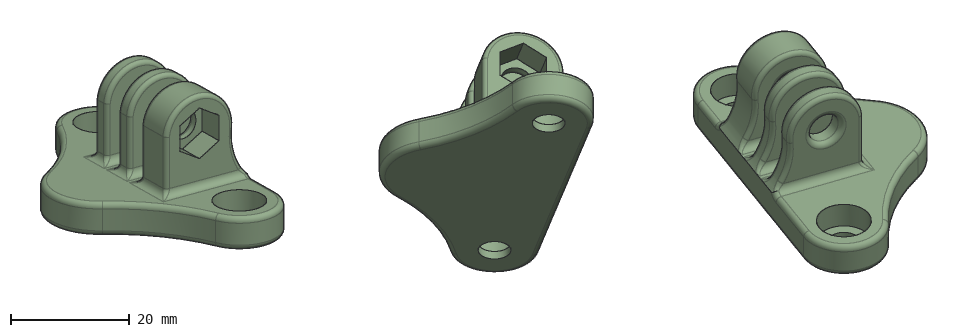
import cadquery as cq
import math

base_thickness = 6.0
base_depth = 31.81
hole_spacing = 41.0
lug_radius = 7.5
nose_radius = 10.0
waist_radius = 33.0
base_edge_fillet = 1.0

mount_hole_diameter = 5.5
counterbore_diameter = 9.2
counterbore_depth = 4.5

thin_fin_width = 3.25
wide_fin_width = 7.2
fin_gap = 3.5
fin_radius = 7.0
fin_front_reach = 6.95
pivot_height = 16.0
pivot_setback = 10.0
pivot_hole_diameter = 5.5
pivot_hole_fillet = 1.0
nut_pocket_width = 8.0
nut_pocket_depth = 5.0
nut_pocket_turn = 30.0
fin_edge_fillet = 0.8
back_flare_radius = 12.0
foot_fillet = 1.4

back_y = lug_radius
lug_x = hole_spacing / 2
nose_y = back_y - base_depth + nose_radius
pivot_y = back_y - pivot_setback
fin_front_y = pivot_y - fin_front_reach
fin_front_top = pivot_height + math.sqrt(fin_radius**2 - fin_front_reach**2)
fin_top = pivot_height + fin_radius
part_width = hole_spacing + 2 * lug_radius

edge_margin = 0.5
diagonal = math.sqrt(0.5)


def circle_crossing(center_a, radius_a, center_b, radius_b):
    """Point where two circles cross, on the left of the line from center_a to center_b."""
    dx = center_b[0] - center_a[0]
    dy = center_b[1] - center_a[1]
    span = math.hypot(dx, dy)
    along = (radius_a**2 - radius_b**2 + span**2) / (2 * span)
    aside = math.sqrt(radius_a**2 - along**2)
    return (
        center_a[0] + (along * dx - aside * dy) / span,
        center_a[1] + (along * dy + aside * dx) / span,
    )


def point_toward(start, target, distance):
    """Point at a distance from start on the ray to target."""
    span = math.dist(start, target)
    return tuple(s + (t - s) * distance / span for s, t in zip(start, target))


def mirrored(point):
    return (-point[0], point[1])


def base_blank():
    """Plate outline: lugs and nose joined by concave waist arcs tangent to both."""
    lug = (lug_x, 0)
    nose = (0, nose_y)
    waist = circle_crossing(nose, nose_radius + waist_radius, lug, lug_radius + waist_radius)
    if waist[1] > nose_y:
        waist = circle_crossing(lug, lug_radius + waist_radius, nose, nose_radius + waist_radius)
    lug_end = point_toward(lug, waist, lug_radius)
    nose_end = point_toward(nose, waist, nose_radius)
    chord_mid = ((lug_end[0] + nose_end[0]) / 2, (lug_end[1] + nose_end[1]) / 2)
    waist_mid = point_toward(waist, chord_mid, waist_radius)
    lug_mid = (lug_x + lug_radius, 0)
    outline = (
        cq.Workplane("XY")
        .moveTo(-lug_x, back_y)
        .lineTo(lug_x, back_y)
        .threePointArc(lug_mid, lug_end)
        .threePointArc(waist_mid, nose_end)
        .threePointArc((0, nose_y - nose_radius), mirrored(nose_end))
        .threePointArc(mirrored(waist_mid), mirrored(lug_end))
        .threePointArc(mirrored(lug_mid), (-lug_x, back_y))
        .close()
    )
    return outline.extrude(base_thickness)


def fin_side_profile():
    """Side outline of every fin, extruded along X across the whole plate."""
    pivot = (pivot_y, pivot_height)
    back_corner = (back_y, base_thickness)
    flare = circle_crossing(back_corner, back_flare_radius, pivot, fin_radius + back_flare_radius)
    if flare[0] < back_y:
        flare = circle_crossing(pivot, fin_radius + back_flare_radius, back_corner, back_flare_radius)
    flare_top = point_toward(pivot, flare, fin_radius)
    chord_mid = ((flare_top[0] + back_y) / 2, (flare_top[1] + base_thickness) / 2)
    flare_mid = point_toward(flare, chord_mid, back_flare_radius)
    foot_bend = foot_fillet * (1 - diagonal)
    return (
        cq.Workplane("YZ")
        .moveTo(*back_corner)
        .threePointArc(flare_mid, flare_top)
        .threePointArc((pivot_y, fin_top), (fin_front_y, fin_front_top))
        .lineTo(fin_front_y, base_thickness + foot_fillet)
        .threePointArc(
            (fin_front_y - foot_bend, base_thickness + foot_bend),
            (fin_front_y - foot_fillet, base_thickness),
        )
        .close()
        .extrude(part_width / 2, both=True)
    )


def fin_front_profile(left, right):
    """Front outline of one fin with flared feet, extruded along Y through the whole plate."""
    foot_bend = foot_fillet * (1 - diagonal)
    foot_top = base_thickness + foot_fillet
    above_crown = fin_top + edge_margin
    return (
        cq.Workplane("XZ")
        .moveTo(left - foot_fillet, base_thickness)
        .threePointArc((left - foot_bend, base_thickness + foot_bend), (left, foot_top))
        .lineTo(left, above_crown)
        .lineTo(right, above_crown)
        .lineTo(right, foot_top)
        .threePointArc((right + foot_bend, base_thickness + foot_bend), (right + foot_fillet, base_thickness))
        .close()
        .extrude(base_depth, both=True)
    )


def sharp_fin(left, right):
    return fin_front_profile(left, right).intersect(fin_side_profile())


def fin_spans():
    """Left and right X of the fins; the middle one is centred on the plate."""
    middle_right = thin_fin_width / 2
    outer_left = middle_right + fin_gap
    return [
        (-outer_left - thin_fin_width, -outer_left),
        (-middle_right, middle_right),
        (outer_left, outer_left + wide_fin_width),
    ]


def round_fin_outlines(body):
    """Round both side outlines; the rounding fades out along the feet.

    The two upright front edges and the two crown arcs lead into all other edges of the outlines.
    """
    upright_edges = body.edges("|Z")
    above_pivot = cq.selectors.BoxSelector(
        (-part_width, -base_depth, pivot_height + edge_margin),
        (part_width, base_depth, fin_top),
    )
    crown_edges = body.edges("%CIRCLE").edges(above_pivot)
    return upright_edges.add(crown_edges).fillet(fin_edge_fillet)


def pivot_bore(left, right):
    bore = cq.Workplane("YZ").circle(pivot_hole_diameter / 2).extrude(right - left)
    return bore.translate((left, pivot_y, pivot_height))


def pivot_mouth(side_x):
    """Cutter that rounds the pivot bore where it enters a fin on its left side."""
    bore = pivot_hole_diameter / 2
    mouth = bore + pivot_hole_fillet
    bend = pivot_hole_fillet * (1 - diagonal)
    return (
        cq.Workplane("XY")
        .lineTo(0, mouth)
        .threePointArc((bend, bore + bend), (pivot_hole_fillet, bore))
        .lineTo(pivot_hole_fillet, 0)
        .close()
        .revolve(360, (0, 0, 0), (1, 0, 0))
        .translate((side_x, pivot_y, pivot_height))
    )


def nut_pocket(right):
    """Hexagonal pocket for the pivot nut, opening on the right side of the wide fin."""
    corner_diameter = nut_pocket_width / math.cos(math.pi / 6)
    hexagon = cq.Workplane("YZ").polygon(6, corner_diameter).extrude(-nut_pocket_depth)
    turned = hexagon.rotate((0, 0, 0), (1, 0, 0), nut_pocket_turn)
    return turned.translate((right, pivot_y, pivot_height))


def fin(left, right):
    body = round_fin_outlines(sharp_fin(left, right))
    return body.cut(pivot_bore(left, right))


def rounded_base():
    return base_blank().faces("<Z or >Z").edges().fillet(base_edge_fillet)


def square_back_edge(left, right):
    """Bar that fills the rounded top back edge of the base below the fin feet."""
    bar = cq.Workplane("XY").box(right - left, base_edge_fillet, base_edge_fillet, centered=False)
    return bar.translate((left, back_y - base_edge_fillet, base_thickness - base_edge_fillet))


def back_edge_runout(foot_start, direction):
    """Cutter that carries the base edge rounding up along the curve of an outer fin foot.

    The waste section of the rounding turns a quarter about the axis of the foot curve.
    """
    bend = base_edge_fillet * (1 - diagonal)
    inner_y = back_y - base_edge_fillet
    low_z = -foot_fillet - base_edge_fillet
    return (
        cq.Workplane("YZ")
        .moveTo(inner_y, -foot_fillet)
        .threePointArc((back_y - bend, -foot_fillet - bend), (back_y, low_z))
        .lineTo(back_y + base_edge_fillet, low_z)
        .lineTo(back_y + base_edge_fillet, 0)
        .lineTo(inner_y, 0)
        .close()
        .revolve(90, (0, 0, 0), (-direction, 0, 0))
        .translate((foot_start, 0, base_thickness + foot_fillet))
    )


def cut_mount_holes(body):
    return (
        body.copyWorkplane(cq.Workplane("XY", origin=(0, 0, base_thickness)))
        .pushPoints([(-lug_x, 0), (lug_x, 0)])
        .cboreHole(mount_hole_diameter, counterbore_diameter, counterbore_depth)
    )


spans = fin_spans()
first_fin_left = spans[0][0]
wide_fin_left, wide_fin_right = spans[-1]
feet_left = first_fin_left - foot_fillet
feet_right = wide_fin_right + foot_fillet

body = rounded_base().union(square_back_edge(feet_left, feet_right))
for fin_left, fin_right in spans:
    body = body.union(fin(fin_left, fin_right))
body = body.cut(pivot_mouth(first_fin_left))
body = body.cut(pivot_mouth(wide_fin_left))
body = body.cut(nut_pocket(wide_fin_right))
body = body.cut(back_edge_runout(feet_left, 1))
body = body.cut(back_edge_runout(feet_right, -1))
result = cut_mount_holes(body)